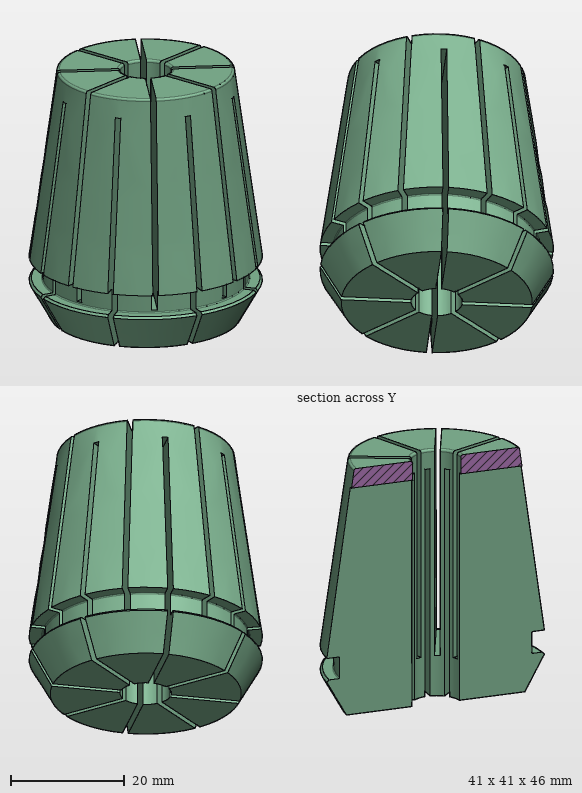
import cadquery as cq
import math

height = 46.0
rim_diameter = 41.0
rim_radius = rim_diameter / 2

taper_angle = 8.0
taper_bottom = 11.05
top_radius = rim_radius - (height - taper_bottom) * math.tan(math.radians(taper_angle))
top_edge_fillet = 0.45

groove_radius = 18.12
groove_bottom = 7.0
groove_fillet = 0.2

nose_rim_height = 6.6
nose_rim_chamfer = groove_bottom - nose_rim_height
nose_radius = 16.8

bore_radius = 4.5
bore_fillet = 0.45

slots_per_end = 8
slot_spacing = 360.0 / slots_per_end
nose_slot_width = 1.0
nose_slot_top = 42.35
top_slot_width = 1.0
top_slot_bottom = 7.5
slot_reach = rim_diameter


def make_body():
    """Revolve the outer profile of the collet around Z, leaving it solid inside."""
    profile = (
        cq.Workplane("XZ")
        .lineTo(nose_radius, 0)
        .lineTo(rim_radius, nose_rim_height)
        .lineTo(rim_radius - nose_rim_chamfer, groove_bottom)
        .lineTo(groove_radius + groove_fillet, groove_bottom)
        .radiusArc((groove_radius, groove_bottom + groove_fillet), groove_fillet)
        .lineTo(groove_radius, taper_bottom - groove_fillet)
        .radiusArc((groove_radius + groove_fillet, taper_bottom), groove_fillet)
        .lineTo(rim_radius, taper_bottom)
        .lineTo(top_radius, height)
        .lineTo(0, height)
        .close()
    )
    body = profile.revolve(360, (0, 0), (0, 1))
    return body.faces(">Z").edges().fillet(top_edge_fillet)


def cut_bore(body):
    """Bore through the whole length and round its upper mouth."""
    bored = body.faces(">Z").workplane().hole(2 * bore_radius)
    bore_mouth = bored.faces(">Z").edges(cq.selectors.RadiusNthSelector(0))
    return bore_mouth.fillet(bore_fillet)


def radial_slots(width, bottom, top, start_angle):
    """Ring of radial blades running from the axis out past the rim."""
    slots = cq.Workplane("XY")
    for index in range(slots_per_end):
        blade = cq.Workplane("XY", origin=(0, 0, bottom)).box(
            slot_reach, width, top - bottom, centered=(False, True, False)
        )
        slots = slots.add(blade.rotate((0, 0, 0), (0, 0, 1), start_angle + index * slot_spacing))
    return slots.combine()


collet = cut_bore(make_body())
collet = collet.cut(radial_slots(nose_slot_width, 0, nose_slot_top, 0))
collet = collet.cut(radial_slots(top_slot_width, top_slot_bottom, height, slot_spacing / 2))

result = collet